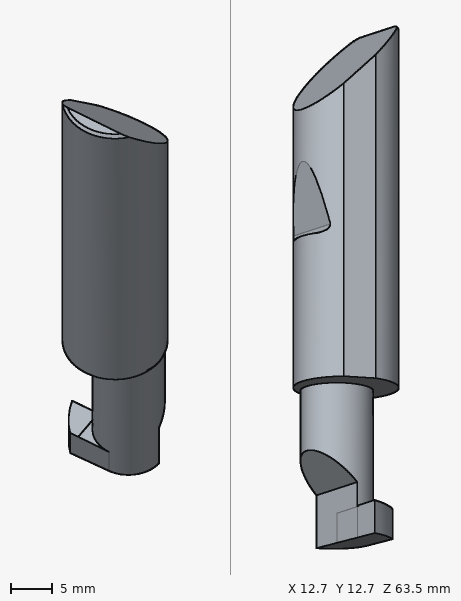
import cadquery as cq
import math

total_length = 63.5
shank_radius = 6.35
shank_bottom = 19.05
top_land_y = -4.6
rim_size = 0.4
flat_edge_y = 3.8

notch_top = 46.15
notch_bottom = 36.95
notch_floor_y = 4.95
notch_root_radius = 0.95

neck_radius = 4.4
neck_x = shank_radius - neck_radius
relief_top = 11.1
relief_bottom = 7.0

tip_x = -6.15
tip_heel_x = -3.55
tip_top = 4.0
tip_end_radius = 10.8
clearance_x = math.radians(2.2)
clearance_y = math.radians(2.5)
crown_angle = math.radians(1.0)

margin = 3.2


def prism_along_x(profile):
    """Turn a closed YZ profile into a cutter wider than the shank."""
    return profile.close().extrude(shank_radius + margin, both=True)


def yz_profile(y, z):
    return cq.Workplane("YZ").moveTo(y, z)


def make_shank():
    shank = (
        cq.Workplane("XY")
        .workplane(offset=shank_bottom)
        .circle(shank_radius)
        .extrude(total_length - shank_bottom)
        .faces(">Z")
        .chamfer(rim_size)
    )

    reach = shank_radius + margin
    slant_cut = prism_along_x(
        yz_profile(top_land_y, total_length)
        .lineTo(reach, total_length - (reach - top_land_y))
        .lineTo(reach, total_length)
    )

    flat_edge_x = -math.sqrt(shank_radius**2 - flat_edge_y**2)
    chord_dx = flat_edge_x + shank_radius
    flat_cut = (
        cq.Workplane("XY")
        .moveTo(-shank_radius - chord_dx, -flat_edge_y)
        .lineTo(flat_edge_x + chord_dx, 2 * flat_edge_y)
        .lineTo(-shank_radius - margin, 2 * flat_edge_y)
        .lineTo(-shank_radius - margin, -flat_edge_y)
        .close()
        .extrude(total_length)
    )

    notch_cut = prism_along_x(
        yz_profile(shank_radius, notch_top)
        .lineTo(notch_floor_y, notch_bottom + notch_root_radius)
        .radiusArc((notch_floor_y + notch_root_radius, notch_bottom), -notch_root_radius)
        .lineTo(shank_radius + margin, notch_bottom)
        .lineTo(shank_radius + margin, notch_top)
    )
    return shank.cut(slant_cut).cut(flat_cut).cut(notch_cut)


def make_neck():
    neck = cq.Workplane("XY").center(neck_x, 0).circle(neck_radius).extrude(shank_bottom)
    relief_cut = prism_along_x(
        yz_profile(0, -margin)
        .lineTo(0, relief_bottom)
        .lineTo(neck_radius, relief_top)
        .lineTo(neck_radius + margin, relief_top)
        .lineTo(neck_radius + margin, -margin)
    )
    return neck.cut(relief_cut)


def make_tip_blank(inner_x, height):
    """Tip outline with its rounded -X end, reaching inward as far as inner_x."""
    return (
        cq.Workplane("XY")
        .moveTo(tip_x, 0)
        .radiusArc((tip_heel_x, -neck_radius), -tip_end_radius)
        .lineTo(inner_x, -neck_radius)
        .lineTo(inner_x, 0)
        .close()
        .extrude(height)
    )


def make_tip():
    cutting_edge_top = tip_top + neck_radius * math.tan(crown_angle)
    crown = prism_along_x(
        yz_profile(-neck_radius, tip_top)
        .lineTo(0, cutting_edge_top)
        .lineTo(0, 0)
        .lineTo(-neck_radius, 0)
    )
    outer_end = make_tip_blank(neck_x - neck_radius, cutting_edge_top)
    return make_tip_blank(neck_x, tip_top).union(outer_end.intersect(crown))


def make_end_clearance():
    """Body below the end face, which rises toward +X and -Y from the tip corner."""
    normal = cq.Vector(-math.tan(clearance_x), math.tan(clearance_y), 1)
    end_plane = cq.Plane(origin=(tip_x, 0, 0), xDir=(1, 0, math.tan(clearance_x)), normal=normal)
    size = 4 * shank_radius + 2 * margin
    return cq.Workplane(end_plane).rect(size, size).extrude(-margin)


lower_end = make_neck().union(make_tip()).cut(make_end_clearance())
result = make_shank().union(lower_end)